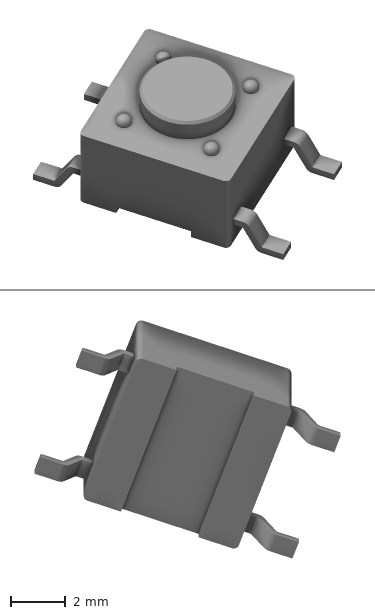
import cadquery as cq
import math

span = 10.0
body_side = 6.0
corner_radius = 0.2
body_bottom = 0.1
body_top = 3.55
total_height = 4.4

recess_width = 3.0
recess_height = 0.3

button_diameter = 3.5
button_chamfer = 0.1

rivet_diameter = 0.6
rivet_height = 0.3
rivet_round = 0.25
rivet_offset = 1.75

lead_width = 0.7
lead_offset = 2.25
lead_thickness = 0.3
lead_top = 1.3
foot_length = 0.86
lead_slope = math.radians(60)
outer_bend_radius = 0.3
inner_bend_radius = 0.05


def make_body():
    """Square housing with rounded corners and a recess across its underside."""
    housing_height = body_top - body_bottom
    housing = (
        cq.Workplane("XY", origin=(0, 0, body_bottom))
        .rect(body_side, body_side)
        .extrude(housing_height)
        .edges("|Z")
        .fillet(corner_radius)
    )
    recess = (
        cq.Workplane("XY", origin=(0, 0, body_bottom))
        .rect(recess_width, body_side)
        .extrude(recess_height)
    )
    return housing.cut(recess)


def make_button():
    """Round push button with a chamfered rim."""
    return (
        cq.Workplane("XY", origin=(0, 0, body_top))
        .circle(button_diameter / 2)
        .extrude(total_height - body_top)
        .faces(">Z")
        .edges()
        .chamfer(button_chamfer)
    )


def make_rivets():
    """Four domed rivet heads with a tiny flat on top."""
    return (
        cq.Workplane("XY", origin=(0, 0, body_top))
        .rect(2 * rivet_offset, 2 * rivet_offset, forConstruction=True)
        .vertices()
        .circle(rivet_diameter / 2)
        .extrude(rivet_height)
        .faces(">Z")
        .edges()
        .fillet(rivet_round)
    )


def make_lead(y_center):
    """Gull-wing lead on the -X side, of constant thickness along its slope."""
    rise = lead_top - lead_thickness
    run = rise / math.tan(lead_slope)
    face_shift = lead_thickness * math.tan(lead_slope / 2)
    tip_x = -span / 2
    wall_x = -body_side / 2
    upper_bend_x = tip_x + foot_length
    lower_bend_x = upper_bend_x + face_shift
    lead = (
        cq.Workplane("XZ", origin=(0, y_center + lead_width / 2, 0))
        .moveTo(tip_x, 0)
        .lineTo(lower_bend_x, 0)
        .lineTo(lower_bend_x + run, rise)
        .lineTo(wall_x, rise)
        .lineTo(wall_x, lead_top)
        .lineTo(upper_bend_x + run, lead_top)
        .lineTo(upper_bend_x, lead_thickness)
        .lineTo(tip_x, lead_thickness)
        .close()
        .extrude(lead_width)
    )

    def bend_edge(x, z):
        return cq.selectors.NearestToPointSelector((x, y_center, z))

    outer_bends = ((lower_bend_x, 0), (upper_bend_x + run, lead_top))
    inner_bends = ((upper_bend_x, lead_thickness), (lower_bend_x + run, rise))
    for x, z in outer_bends:
        lead = lead.edges("|Y").edges(bend_edge(x, z)).fillet(outer_bend_radius)
    for x, z in inner_bends:
        lead = lead.edges("|Y").edges(bend_edge(x, z)).fillet(inner_bend_radius)
    return lead


result = make_body().union(make_button()).union(make_rivets())
for y_center in (-lead_offset, lead_offset):
    left_lead = make_lead(y_center)
    result = result.union(left_lead).union(left_lead.mirror("YZ"))